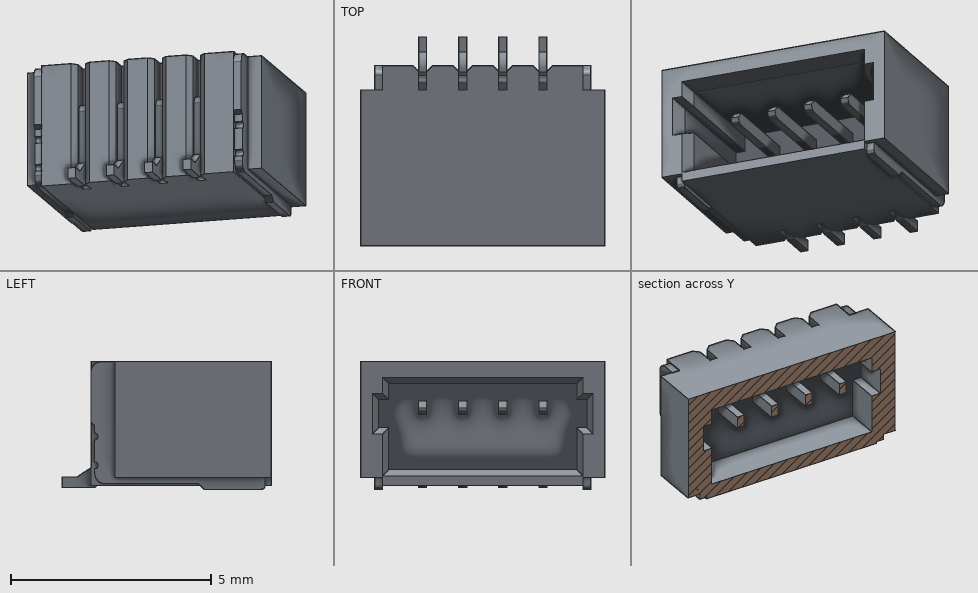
import cadquery as cq
import math


width = 6.1
top_z = 3.2
core_width = 5.0
core_depth = 4.5
core_bottom_z = 0.1
shoulder_depth = 3.9
shoulder_bottom_z = 0.3

mouth_width = core_width
mouth_top_z = 2.8
mouth_bottom_z = 0.34
key_width = 5.5
key_top_z = 2.4
key_bottom_z = 1.39
lead_in = 0.15
lead_in_depth = 0.4
cavity_depth = 3.5

lead_count = 4
pitch = 1.0
lead_width = 0.2
pin_start_y = 1.0
pin_top_z = 2.21
pin_bottom_z = 1.87
tip_length = 0.17
leg_back_y = 4.26
bend_radius = 0.195
foot_end_y = 5.22
foot_bottom_z = 0.05
foot_thickness = 0.27
brace_start_y = 4.345
brace_end_y = 4.85
brace_top_z = 0.65
heel_y = 4.405
notch_chamfer = 0.14

clip_width = 0.2
clip_front_y = 0.15
clip_back_y = 4.51
clip_top_z = 3.185
clip_bend_radius = 0.255
clip_recess = 0.1
recess_top_z = 1.69
clip_belly_z = 0.145
pad_end_y = 1.68
pad_front_radius = 0.105
bite_radius = 0.085
bite_heights = (0.605, 1.325)

arc_mid_inset = 1 - math.sqrt(0.5)


def box(x_size, y_range, z_range):
    """Box centred on X = 0 that spans the given Y and Z ranges."""
    y0, y1 = y_range
    z0, z1 = z_range
    block = cq.Workplane("XY").box(x_size, y1 - y0, z1 - z0, centered=(True, False, False))
    return block.translate((0, y0, z0))


def mouth_outline(workplane, inset):
    """Cavity outline with its side key slots, moved inward by inset."""
    half = mouth_width / 2 - inset
    key_half = key_width / 2 - inset
    top = mouth_top_z - inset
    bottom = mouth_bottom_z + inset
    key_top = key_top_z - inset
    key_bottom = key_bottom_z + inset
    right_side = [
        (half, bottom),
        (half, key_bottom),
        (key_half, key_bottom),
        (key_half, key_top),
        (half, key_top),
        (half, top),
    ]
    left_side = [(-x, z) for x, z in reversed(right_side)]
    return workplane.polyline(right_side + left_side).close()


def make_cavity():
    mouth = mouth_outline(cq.Workplane("XZ"), 0)
    taper = mouth_outline(mouth.workplane(offset=-lead_in_depth), lead_in).loft(ruled=True)
    straight = mouth_outline(cq.Workplane("XZ", origin=(0, lead_in_depth, 0)), lead_in)
    return taper.union(straight.extrude(lead_in_depth - cavity_depth))


def make_lead_notch(x):
    """Slot in the back of the core with chamfered corners."""
    half = lead_width / 2
    chamfer_y = core_depth - notch_chamfer
    right_side = [
        (half, shoulder_depth),
        (half, chamfer_y),
        (half + notch_chamfer, core_depth),
    ]
    left_side = [(-px, y) for px, y in reversed(right_side)]
    return cq.Workplane("XY").polyline(right_side + left_side).close().extrude(top_z).translate((x, 0, 0))


def make_lead(x):
    pin_middle_z = (pin_top_z + pin_bottom_z) / 2
    tip_radius = pin_middle_z - pin_bottom_z
    tip_mid = tip_radius * arc_mid_inset
    bend_mid = bend_radius * arc_mid_inset
    leg_front_y = leg_back_y - foot_thickness
    foot_top_z = foot_bottom_z + foot_thickness
    profile = (
        cq.Workplane("YZ")
        .moveTo(pin_start_y, pin_middle_z)
        .lineTo(pin_start_y + tip_length, pin_top_z)
        .lineTo(leg_back_y - bend_radius, pin_top_z)
        .threePointArc((leg_back_y - bend_mid, pin_top_z - bend_mid), (leg_back_y, pin_top_z - bend_radius))
        .lineTo(leg_back_y, brace_top_z)
        .lineTo(brace_start_y, brace_top_z)
        .lineTo(brace_end_y, foot_top_z)
        .lineTo(foot_end_y, foot_top_z)
        .lineTo(foot_end_y, foot_bottom_z)
        .lineTo(heel_y, foot_bottom_z)
        .lineTo(leg_front_y, foot_bottom_z + heel_y - leg_front_y)
        .lineTo(leg_front_y, pin_bottom_z)
        .lineTo(pin_start_y + tip_radius, pin_bottom_z)
        .threePointArc((pin_start_y + tip_mid, pin_bottom_z + tip_mid), (pin_start_y, pin_middle_z))
        .close()
    )
    return profile.extrude(lead_width / 2, both=True).translate((x, 0, 0))


def make_clip(side):
    """L-shaped clip on one flank of the core; side is +1 or -1."""
    recess_y = clip_back_y - clip_recess
    bend_mid = clip_bend_radius * arc_mid_inset
    pad_mid = pad_front_radius * arc_mid_inset
    profile = (
        cq.Workplane("YZ")
        .moveTo(shoulder_depth, clip_top_z)
        .lineTo(clip_back_y - clip_bend_radius, clip_top_z)
        .threePointArc(
            (clip_back_y - bend_mid, clip_top_z - bend_mid),
            (clip_back_y, clip_top_z - clip_bend_radius),
        )
        .lineTo(clip_back_y, recess_top_z)
        .lineTo(recess_y, recess_top_z - clip_recess)
        .lineTo(recess_y, clip_belly_z + clip_bend_radius)
        .threePointArc(
            (recess_y - bend_mid, clip_belly_z + bend_mid),
            (recess_y - clip_bend_radius, clip_belly_z),
        )
        .lineTo(pad_end_y + clip_belly_z, clip_belly_z)
        .lineTo(pad_end_y, 0)
        .lineTo(clip_front_y + pad_front_radius, 0)
        .threePointArc((clip_front_y + pad_mid, pad_mid), (clip_front_y, pad_front_radius))
        .lineTo(clip_front_y, shoulder_bottom_z)
        .lineTo(shoulder_depth, shoulder_bottom_z)
        .close()
    )
    bite_points = [(recess_y, z) for z in bite_heights]
    bites = cq.Workplane("YZ").pushPoints(bite_points).circle(bite_radius).extrude(clip_width / 2, both=True)
    clip = profile.extrude(clip_width / 2, both=True).cut(bites)
    return clip.translate((side * (core_width + clip_width) / 2, 0, 0))


lead_positions = [(i - (lead_count - 1) / 2) * pitch for i in range(lead_count)]

core = box(core_width, (0, core_depth), (core_bottom_z, top_z))
shell = box(width, (0, shoulder_depth), (shoulder_bottom_z, top_z))
result = core.union(shell).cut(make_cavity())

for lead_x in lead_positions:
    result = result.cut(make_lead_notch(lead_x))
for lead_x in lead_positions:
    result = result.union(make_lead(lead_x))
for clip_side in (-1, 1):
    result = result.union(make_clip(clip_side))